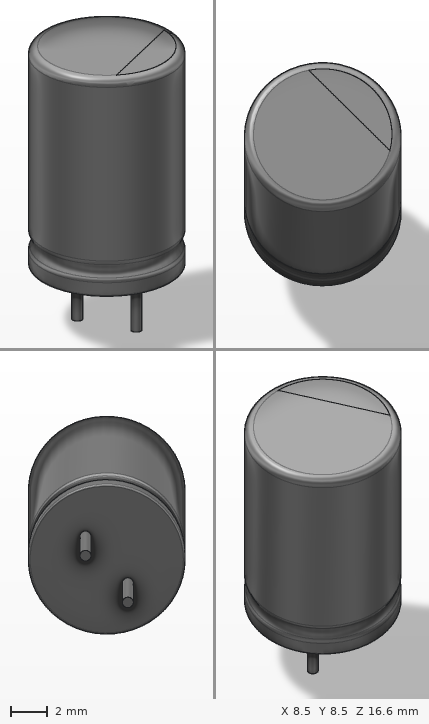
import cadquery as cq
import math


can_diameter = 8.5
can_height = 13.0
top_fillet = 0.5
base_fillet = 0.1

groove_center_z = 1.5
groove_half_height = 0.65
blend_height = 0.25
groove_depth = 0.2

mark_edge_x = 2.0
mark_thickness = 0.1

overall_height = 16.6
lead_diameter = 0.6
lead_pitch = 3.5

can_radius = can_diameter / 2
lead_length = overall_height - can_height

groove_angle = 2 * math.atan(groove_depth / groove_half_height)
blend_radius = blend_height / math.sin(groove_angle)
inner_half_height = groove_half_height - blend_height
groove_floor_radius = can_radius - groove_depth


def blend_drop(angle):
    """Distance the blend has moved inward after turning through the angle."""
    return blend_radius * (1 - math.cos(angle))


def make_can_blank():
    """Revolve the can's half outline, including the rolled groove."""
    joint_radius = can_radius - blend_drop(groove_angle)
    blend_mid_radius = can_radius - blend_drop(groove_angle / 2)
    blend_mid_z = groove_half_height - blend_radius * math.sin(groove_angle / 2)
    corner_offset = 1 - math.sqrt(0.5)
    base_inset = base_fillet * corner_offset
    top_inset = top_fillet * corner_offset
    outline = (
        cq.Workplane("XZ")
        .lineTo(can_radius - base_fillet, 0)
        .threePointArc((can_radius - base_inset, base_inset), (can_radius, base_fillet))
        .lineTo(can_radius, groove_center_z - groove_half_height)
        .threePointArc(
            (blend_mid_radius, groove_center_z - blend_mid_z),
            (joint_radius, groove_center_z - inner_half_height),
        )
        .threePointArc(
            (groove_floor_radius, groove_center_z),
            (joint_radius, groove_center_z + inner_half_height),
        )
        .threePointArc(
            (blend_mid_radius, groove_center_z + blend_mid_z),
            (can_radius, groove_center_z + groove_half_height),
        )
        .lineTo(can_radius, can_height - top_fillet)
        .threePointArc(
            (can_radius - top_inset, can_height - top_inset),
            (can_radius - top_fillet, can_height),
        )
        .lineTo(0, can_height)
        .close()
    )
    return outline.revolve(360, (0, 0, 0), (0, 1, 0))


def make_polarity_mark():
    """Circular segment that fills the +X side of the flat top."""
    flat_radius = can_radius - top_fillet
    half_chord = math.sqrt(flat_radius**2 - mark_edge_x**2)
    return (
        cq.Workplane("XY", origin=(0, 0, can_height - mark_thickness))
        .moveTo(mark_edge_x, -half_chord)
        .threePointArc((flat_radius, 0), (mark_edge_x, half_chord))
        .close()
        .extrude(mark_thickness)
    )


def make_lead(x):
    """Straight round lead hanging from the base."""
    return cq.Workplane("XY").center(x, 0).circle(lead_diameter / 2).extrude(-lead_length)


polarity_mark = make_polarity_mark()
can = make_can_blank().cut(polarity_mark)

leads = []
for side in (-1, 1):
    leads.append(make_lead(side * lead_pitch / 2))

result = cq.Compound.makeCompound([can.val(), polarity_mark.val(), *[lead.val() for lead in leads]])